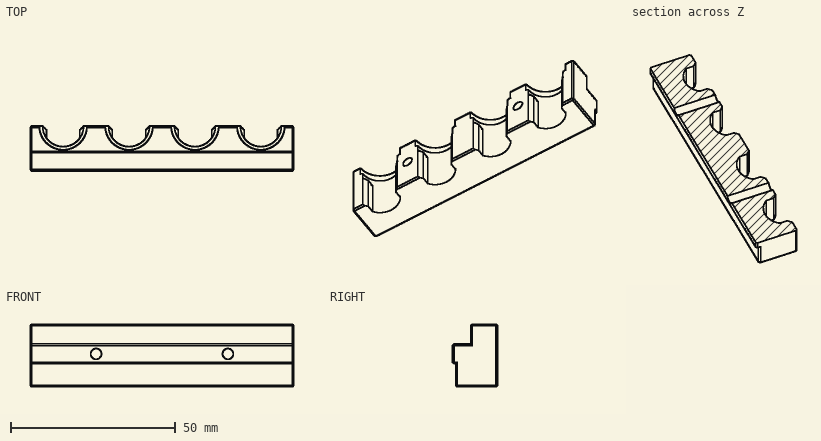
import cadquery as cq

length = 80
height = 19.0
total_depth = 13.7
top_depth = 8.2
base_depth = 12.7
flange_bottom = 7.0
flange_top = 13.0
edge_chamfer = 0.5

screw_diameter = 3.2
screw_spacing = length / 2
screw_height = 10.0

seat_count = 4
seat_pitch = length / seat_count
rim_radius = 7.2
rim_chamfer = 0.1
rim_depth = 3.2
rim_slope = 0.6
bore_radius = 6.2

jaw_gap = 10.1
jaw_top = 13.2
jaw_slope = 0.7


def edges_along_x(depth, level):
    """Select the edge parallel to X at the given depth and height."""
    tolerance = 0.1
    return cq.selectors.BoxSelector(
        (0, -depth - tolerance, level - tolerance),
        (length, -depth + tolerance, level + tolerance),
    )


def make_body():
    """Stepped bar with every edge chamfered except the two inner corners."""
    profile = [
        (0, 0),
        (-base_depth, 0),
        (-base_depth, flange_bottom),
        (-total_depth, flange_bottom),
        (-total_depth, flange_top),
        (-top_depth, flange_top),
        (-top_depth, height),
        (0, height),
    ]
    bar = cq.Workplane("YZ").polyline(profile).close().extrude(length)
    inner_corners = edges_along_x(base_depth, flange_bottom) + edges_along_x(top_depth, flange_top)
    return bar.edges(-inner_corners).chamfer(edge_chamfer)


def make_jaw():
    """Jaw on the +X side of a bore, with a 45 degree lead-in at the back."""
    inner_x = jaw_gap / 2
    width = bore_radius - inner_x
    jaw = (
        cq.Workplane("XZ")
        .polyline([
            (inner_x, 0),
            (bore_radius, 0),
            (bore_radius, jaw_top),
            (inner_x, jaw_top - jaw_slope),
        ])
        .close()
        .extrude(bore_radius)
    )
    lead_in = (
        cq.Workplane("XY")
        .polyline([(inner_x, 0), (bore_radius, 0), (inner_x, -width)])
        .close()
        .extrude(jaw_top)
    )
    return jaw.cut(lead_in)


def make_seat_cutter():
    """Volume removed for one seat: a stepped round bore less its two jaws."""
    recess_floor = height - rim_depth
    half_section = [
        (0, 0),
        (bore_radius, 0),
        (bore_radius, recess_floor - rim_slope),
        (rim_radius, recess_floor),
        (rim_radius, height - rim_chamfer),
        (rim_radius + rim_chamfer, height),
        (0, height),
    ]
    bore = cq.Workplane("XZ").polyline(half_section).close().revolve(360, (0, 0, 0), (0, 1, 0))
    jaw = make_jaw()
    return bore.cut(jaw).cut(jaw.mirror("YZ"))


def make_screw_holes():
    return (
        cq.Workplane("XZ", origin=(length / 2, 0, screw_height))
        .rarray(screw_spacing, 0.8, 2, 1)
        .circle(screw_diameter / 2)
        .extrude(total_depth)
    )


result = make_body().cut(make_screw_holes())
seat_cutter = make_seat_cutter()
for index in range(seat_count):
    seat_x = (index + 0.5) * seat_pitch
    result = result.cut(seat_cutter.translate((seat_x, 0, 0)))